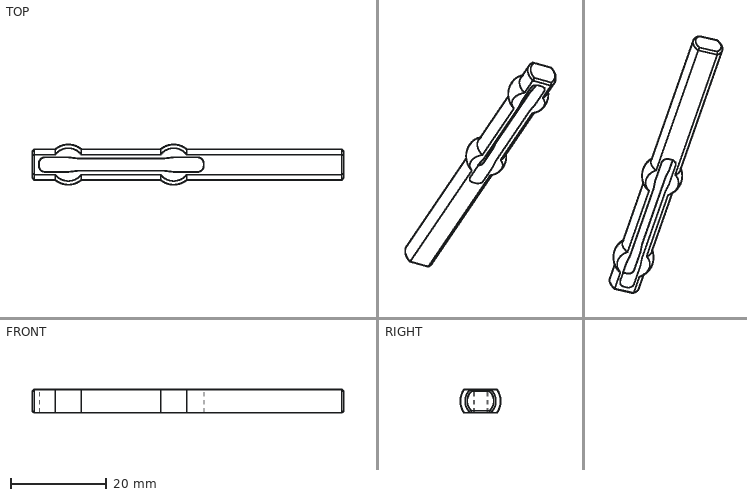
import cadquery as cq

length = 65.6
height = 5.0
rod_diameter = 6.5
end_chamfer = 0.45

bump_diameter = 8.5
bump_places = (7.6, 29.8)

slot_start = 1.45
slot_end = 36.1
slot_width = 3.0
slot_corner_radius = 1.25
waist_width = 2.55
taper_length = 2.0


def between_flats(body):
    """Cut a body on the rod axis down to the rod's top and bottom flats."""
    slab = cq.Workplane("XY").box(length, bump_diameter, height, centered=(False, True, True))
    return body.intersect(slab)


def rod():
    """Round bar cut to the flats, with chamfered ends."""
    round_bar = cq.Workplane("YZ").circle(rod_diameter / 2).extrude(length)
    return between_flats(round_bar).faces("<X or >X").chamfer(end_chamfer)


def bump(x):
    """Ball centred on the rod axis, cut to the same flats as the rod."""
    ball = cq.Workplane("XY").sphere(bump_diameter / 2).translate((x, 0, 0))
    return between_flats(ball)


def slot():
    """Wide ends with rounded corners, tapering from each bump centre to the narrower waist."""
    taper_start, taper_end = bump_places
    half_slot = slot_width / 2
    half_waist = waist_width / 2
    upper_side = [
        (slot_start, half_slot),
        (taper_start, half_slot),
        (taper_start + taper_length, half_waist),
        (taper_end - taper_length, half_waist),
        (taper_end, half_slot),
        (slot_end, half_slot),
    ]
    lower_side = [(x, -y) for x, y in reversed(upper_side)]
    outline = cq.Workplane("XY").polyline(upper_side + lower_side).close()
    opening = outline.extrude(height / 2, both=True)
    return opening.faces("<X or >X").edges("|Z").fillet(slot_corner_radius)


result = rod()
for bump_place in bump_places:
    result = result.union(bump(bump_place))
result = result.cut(slot())